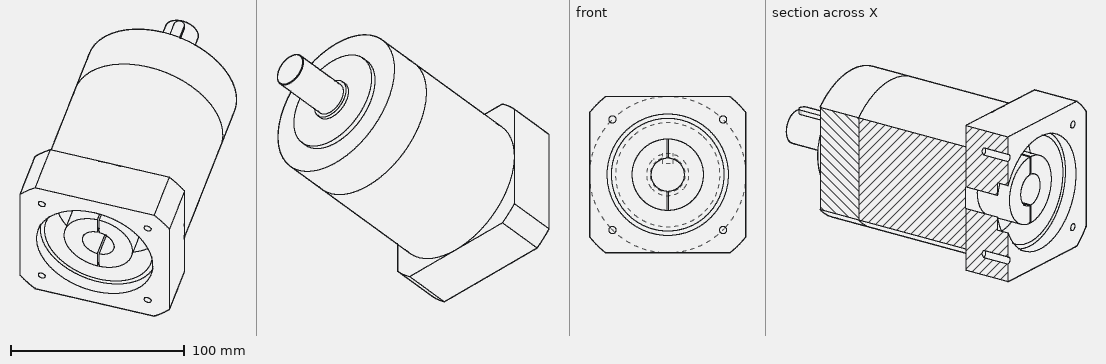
import cadquery as cq
import math


TOTAL_LENGTH = 173.5
BODY_DIAMETER = 90.0

FLANGE_LENGTH = 30.0
GEAR_HOUSING_LENGTH = 76.0
OUTPUT_HOUSING_LENGTH = 27.5
PILOT_LENGTH = 3.0
COLLAR_LENGTH = 2.0

PILOT_DIAMETER = 60.0
COLLAR_DIAMETER = 24.3
SHAFT_DIAMETER = 20.1
SHAFT_TIP_CHAMFER = 0.3
KEY_WIDTH = 6.0
KEY_LENGTH = 30.4
KEY_TIP_GAP = 2.6
KEY_TOP = 12.3
KEY_BOTTOM = 6.5

CORNER_DIAMETER = 115.0
RECESS_DIAMETER = 70.0
RECESS_DEPTH = 7.5
CAVITY_DIAMETER = 64.9
BOLT_SPACING = 63.7
BOLT_HOLE_DIAMETER = 4.2
BOLT_HOLE_DEPTH = 17.4
DRILL_TIP_ANGLE = 118.0

HUB_SETBACK = 7.1
HUB_DIAMETER = 41.1
HUB_BORE_DIAMETER = 19.0
HUB_BORE_DEPTH = 17.4
HUB_SLIT_WIDTH = 1.0

INPUT_FACE = -TOTAL_LENGTH / 2
FLANGE_END = INPUT_FACE + FLANGE_LENGTH
GEAR_HOUSING_END = FLANGE_END + GEAR_HOUSING_LENGTH
OUTPUT_HOUSING_END = GEAR_HOUSING_END + OUTPUT_HOUSING_LENGTH
PILOT_END = OUTPUT_HOUSING_END + PILOT_LENGTH
COLLAR_END = PILOT_END + COLLAR_LENGTH
SHAFT_TIP = TOTAL_LENGTH / 2
HUB_FACE = INPUT_FACE + HUB_SETBACK


def cross_plane(y):
    """Work plane across the axis at station y, facing +Y (local x is Z, local y is X)."""
    return cq.Workplane("ZX", origin=(0, y, 0))


def cylinder(diameter, start, end):
    """Solid cylinder on the Y axis between two stations."""
    return cross_plane(start).circle(diameter / 2).extrude(end - start)


def make_bolt_drill():
    """Cutter for one blind bolt hole on the Y axis: a round bore with a conical drill tip."""
    radius = BOLT_HOLE_DIAMETER / 2
    tip_length = radius / math.tan(math.radians(DRILL_TIP_ANGLE / 2))
    bore_end = INPUT_FACE + BOLT_HOLE_DEPTH
    return (
        cq.Workplane("XY")
        .moveTo(0, INPUT_FACE)
        .lineTo(radius, INPUT_FACE)
        .lineTo(radius, bore_end)
        .lineTo(0, bore_end + tip_length)
        .close()
        .revolve(360, (0, 0, 0), (0, 1, 0))
    )


def make_flange():
    """Square input flange with turned corners, a stepped through opening and four bolt holes."""
    flange = cross_plane(INPUT_FACE).rect(BODY_DIAMETER, BODY_DIAMETER).extrude(FLANGE_LENGTH)
    flange = flange.intersect(cylinder(CORNER_DIAMETER, INPUT_FACE, FLANGE_END))
    flange = flange.cut(cylinder(RECESS_DIAMETER, INPUT_FACE, INPUT_FACE + RECESS_DEPTH))
    flange = flange.cut(cylinder(CAVITY_DIAMETER, INPUT_FACE, FLANGE_END))
    drill = make_bolt_drill()
    for x_side in (-1, 1):
        for z_side in (-1, 1):
            offset = (x_side * BOLT_SPACING / 2, 0, z_side * BOLT_SPACING / 2)
            flange = flange.cut(drill.translate(offset))
    return flange


def make_clamp_hub():
    """Motor clamp hub inside the flange, with a blind bore and a slit across the bore."""
    bore_end = HUB_FACE + HUB_BORE_DEPTH
    hub = cylinder(HUB_DIAMETER, HUB_FACE, FLANGE_END)
    hub = hub.cut(cylinder(HUB_BORE_DIAMETER, HUB_FACE, bore_end))
    slit = cross_plane(HUB_FACE).rect(HUB_DIAMETER, HUB_SLIT_WIDTH).extrude(HUB_BORE_DEPTH)
    return hub.cut(slit)


def make_gear_housing():
    """Plain cylindrical housing between the flange and the output housing."""
    return cylinder(BODY_DIAMETER, FLANGE_END, GEAR_HOUSING_END)


def make_output_housing():
    """Output end housing with its centring pilot."""
    housing = cylinder(BODY_DIAMETER, GEAR_HOUSING_END, OUTPUT_HOUSING_END)
    return housing.union(cylinder(PILOT_DIAMETER, OUTPUT_HOUSING_END, PILOT_END))


def make_key():
    """Round-ended key lying along the shaft on its +Z side."""
    key_center = SHAFT_TIP - KEY_TIP_GAP - KEY_LENGTH / 2
    return (
        cq.Workplane("XY", origin=(0, key_center, KEY_BOTTOM))
        .slot2D(KEY_LENGTH, KEY_WIDTH, 90)
        .extrude(KEY_TOP - KEY_BOTTOM)
    )


def make_shaft():
    """Output shaft with a collar at its base, a chamfered tip and a keyway that fits the key."""
    shaft = cylinder(SHAFT_DIAMETER, COLLAR_END, SHAFT_TIP)
    shaft = shaft.faces(">Y").chamfer(SHAFT_TIP_CHAMFER)
    shaft = shaft.union(cylinder(COLLAR_DIAMETER, PILOT_END, COLLAR_END))
    return shaft.cut(make_key())


flange = make_flange()
clamp_hub = make_clamp_hub()
gear_housing = make_gear_housing()
output_housing = make_output_housing()
shaft = make_shaft()
key = make_key()

bodies = [flange, clamp_hub, gear_housing, output_housing, shaft, key]
result = cq.Compound.makeCompound([body.val() for body in bodies])